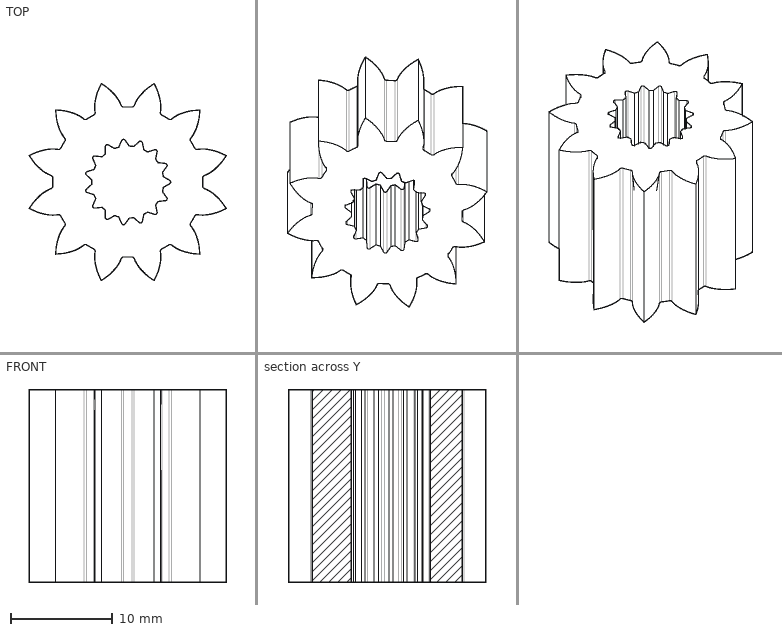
import cadquery as cq
import math

outer_width = 19.5
height = 19.05

tooth_count = 12
tooth_pitch = 2 * math.pi / tooth_count
tip_radius = outer_width / 2 / math.cos(tooth_pitch / 2)
root_radius = 7.43
base_radius = 7.37
root_fillet = 0.23
flank_intervals = 6

groove_count = 15
bore_radius = 3.55
groove_bottom_radius = 4.23
groove_round = 0.185
groove_flank_angle = math.radians(30)


def polar(radius, angle):
    return (radius * math.cos(angle), radius * math.sin(angle))


def involute_angle(radius):
    """Angle swept by the base-circle involute on its way out to this radius."""
    pressure_angle = math.acos(base_radius / radius)
    return math.tan(pressure_angle) - pressure_angle


def half_tooth_angle(radius):
    """Half the angle a tooth spans at this radius; zero at the tip."""
    return involute_angle(tip_radius) - involute_angle(radius)


def make_gear_blank():
    step = (tip_radius - root_radius) / flank_intervals
    flank_radii = [root_radius + i * step for i in range(flank_intervals)] + [tip_radius]
    root_half_angle = half_tooth_angle(root_radius)
    first_center = tooth_pitch / 2

    profile = cq.Workplane("XY").moveTo(*polar(root_radius, first_center - root_half_angle))
    for tooth in range(tooth_count):
        center = first_center + tooth * tooth_pitch
        rising = [polar(r, center - half_tooth_angle(r)) for r in flank_radii]
        falling = [polar(r, center + half_tooth_angle(r)) for r in reversed(flank_radii)]
        profile = profile.spline(rising[1:], includeCurrent=True)
        profile = profile.spline(falling[1:], includeCurrent=True)
        profile = profile.threePointArc(
            polar(root_radius, center + tooth_pitch / 2),
            polar(root_radius, center + tooth_pitch - root_half_angle),
        )
    blank = profile.close().extrude(height)

    middle_radius = (root_radius + tip_radius) / 2
    root_edges = [
        edge for edge in blank.edges("|Z").vals()
        if math.hypot(edge.Center().x, edge.Center().y) < middle_radius
    ]
    return blank.newObject(root_edges).fillet(root_fillet)


def make_groove():
    """Cutter for the groove on the +X side; it starts inside the bore."""
    round_center = groove_bottom_radius - groove_round
    tangent_x = round_center + groove_round * math.sin(groove_flank_angle)
    tangent_y = groove_round * math.cos(groove_flank_angle)
    mouth_x = bore_radius - groove_round
    mouth_y = tangent_y + (tangent_x - mouth_x) * math.tan(groove_flank_angle)
    return (
        cq.Workplane("XY")
        .moveTo(mouth_x, -mouth_y)
        .lineTo(tangent_x, -tangent_y)
        .threePointArc((groove_bottom_radius, 0), (tangent_x, tangent_y))
        .lineTo(mouth_x, mouth_y)
        .close()
        .extrude(height)
    )


def make_splined_bore():
    bore = cq.Workplane("XY").circle(bore_radius).extrude(height)
    groove = make_groove()
    for i in range(groove_count):
        bore = bore.union(groove.rotate((0, 0, 0), (0, 0, 1), i * 360 / groove_count))
    return bore


result = make_gear_blank().cut(make_splined_bore())